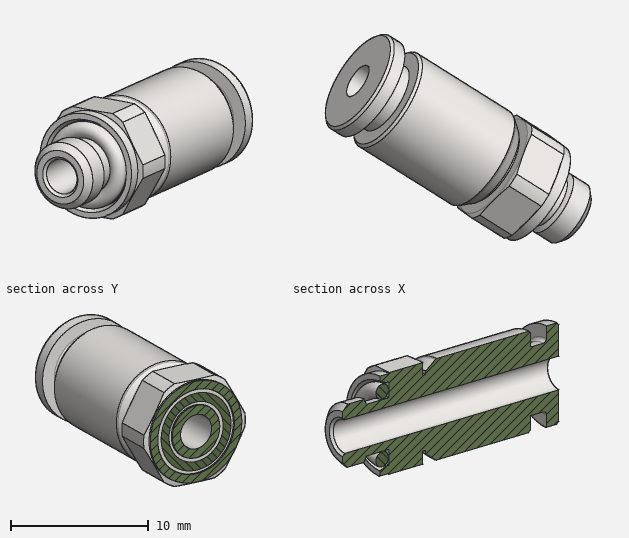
import cadquery as cq
import math


length = 20.1
body_radius = 4.0
bore_radius = 1.3
bore_chamfer = 0.2

thread_radius = 2.5
undercut_radius = 2.05
tip_chamfer = 0.48
thread_end_y = 2.03
undercut_start_y = 2.25

flange_radius = 3.94
flange_y = 3.45
hex_start_y = 4.32
hex_end_y = 7.48
hex_corner_radius = 4.352
hex_corner_angle = 30
hex_chamfer_drop = 0.08

neck_radius = 3.0
housing_start_y = 7.72
housing_start_radius = 3.28
cone_end_y = 8.6
cone_end_radius = 3.94
cylinder_start_y = 8.72
housing_end_y = 17.49
housing_chamfer = 0.2

sleeve_radius = 2.71
collar_y = 18.91
collar_chamfer = 0.2
sleeve_fillet = 0.28

ring_section_radius = 0.6
ring_centre_radius = undercut_radius + ring_section_radius
ring_centre_y = 3.7
recess_floor_y = ring_centre_y + ring_section_radius
recess_wall_radius = ring_centre_radius + ring_section_radius
recess_mouth_radius = 3.5
recess_flare_depth = 0.6


def revolve_about_y(profile):
    """Turn a closed profile, drawn as (radius, Y), a full circle about the Y axis."""
    return profile.close().revolve(360, (0, 0, 0), (0, 1, 0))


def turned_blank():
    """Outside of the fitting without the hexagon, including the O-ring recess."""
    fillet_mid = sleeve_fillet * (1 - math.sqrt(0.5))
    profile = (
        cq.Workplane("XY")
        .moveTo(0, 0)
        .lineTo(thread_radius - tip_chamfer, 0)
        .lineTo(thread_radius, tip_chamfer)
        .lineTo(thread_radius, thread_end_y)
        .lineTo(undercut_radius, undercut_start_y)
        .lineTo(undercut_radius, recess_floor_y)
        .lineTo(recess_wall_radius, recess_floor_y)
        .lineTo(recess_wall_radius, flange_y + recess_flare_depth)
        .lineTo(recess_mouth_radius, flange_y)
        .lineTo(flange_radius, flange_y)
        .lineTo(flange_radius, hex_start_y)
        .lineTo(neck_radius, hex_start_y)
        .lineTo(neck_radius, housing_start_y)
        .lineTo(housing_start_radius, housing_start_y)
        .lineTo(cone_end_radius, cone_end_y)
        .lineTo(body_radius, cylinder_start_y)
        .lineTo(body_radius, housing_end_y - housing_chamfer)
        .lineTo(body_radius - housing_chamfer, housing_end_y)
        .lineTo(sleeve_radius, housing_end_y)
        .lineTo(sleeve_radius, collar_y - sleeve_fillet)
        .threePointArc(
            (sleeve_radius + fillet_mid, collar_y - fillet_mid),
            (sleeve_radius + sleeve_fillet, collar_y),
        )
        .lineTo(body_radius, collar_y)
        .lineTo(body_radius, length - collar_chamfer)
        .lineTo(body_radius - collar_chamfer, length)
        .lineTo(0, length)
    )
    return revolve_about_y(profile)


def hexagon():
    """Hexagon with flats at +Z and -Z, rounded corners and slightly chamfered ends."""
    prism = (
        cq.Workplane("XZ", origin=(0, hex_end_y, 0))
        .polygon(6, 2 * body_radius, circumscribed=True)
        .extrude(hex_end_y - hex_start_y)
        .rotate((0, 0, 0), (0, 1, 0), hex_corner_angle)
    )
    corner_envelope = revolve_about_y(
        cq.Workplane("XY")
        .moveTo(0, hex_start_y)
        .lineTo(flange_radius, hex_start_y)
        .lineTo(hex_corner_radius, hex_start_y + hex_chamfer_drop)
        .lineTo(hex_corner_radius, hex_end_y - hex_chamfer_drop)
        .lineTo(flange_radius, hex_end_y)
        .lineTo(0, hex_end_y)
    )
    return prism.intersect(corner_envelope)


def bore():
    """Through bore with a chamfered mouth at the spigot tip."""
    return revolve_about_y(
        cq.Workplane("XY")
        .moveTo(0, 0)
        .lineTo(bore_radius + bore_chamfer, 0)
        .lineTo(bore_radius, bore_chamfer)
        .lineTo(bore_radius, length)
        .lineTo(0, length)
    )


def make_fitting():
    """Housing, hexagon, flange, spigot and release sleeve as one bored solid."""
    return turned_blank().union(hexagon()).cut(bore())


def make_o_ring():
    """Round-section ring seated on the undercut and the recess floor."""
    return (
        cq.Workplane("XY")
        .center(ring_centre_radius, ring_centre_y)
        .circle(ring_section_radius)
        .revolve(360, (-ring_centre_radius, 0, 0), (-ring_centre_radius, 1, 0))
    )


fitting = make_fitting()
o_ring = make_o_ring()

result = cq.Compound.makeCompound([fitting.solids().val(), o_ring.val()])